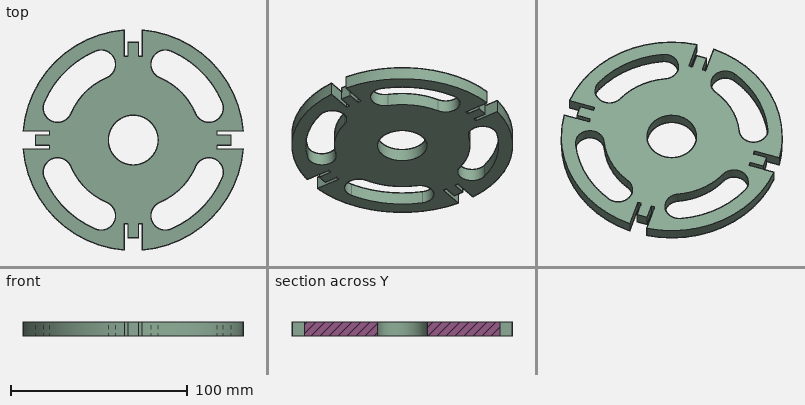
import cadquery as cq
import math

thickness = 8.0
outer_span = 124.6
bore_diameter = 28.0

notch_count = 4
notch_width = 10.0
notch_floor_radius = 47.5
tab_width = 6.0
tab_tip_radius = 55.3

slot_width = 16.2
slot_path_radius = 46.5
slot_sweep = 44.0

outer_radius = math.hypot(outer_span / 2, notch_width / 2)
notch_pitch = 360 / notch_count


def polar_point(radius, angle):
    """Point in the XY plane at a radius and an angle in degrees."""
    radians = math.radians(angle)
    return radius * math.cos(radians), radius * math.sin(radians)


def radial_bar(inner, outer, width):
    """Full-thickness bar along +X between two distances from the axis."""
    return cq.Workplane("XY").box(
        outer - inner, width, thickness, centered=(False, True, False)
    ).translate((inner, 0, 0))


def curved_slot(middle_angle):
    """Full-thickness arc slot with round ends, concentric with the disc."""
    start = middle_angle - slot_sweep / 2
    end = middle_angle + slot_sweep / 2
    inner = slot_path_radius - slot_width / 2
    outer = slot_path_radius + slot_width / 2
    start_tip_x, start_tip_y = polar_point(slot_path_radius, start)
    end_tip_x, end_tip_y = polar_point(slot_path_radius, end)
    start_dx, start_dy = polar_point(slot_width / 2, start - 90)
    end_dx, end_dy = polar_point(slot_width / 2, end + 90)
    return (
        cq.Workplane("XY")
        .moveTo(*polar_point(inner, start))
        .threePointArc(polar_point(inner, middle_angle), polar_point(inner, end))
        .threePointArc((end_tip_x + end_dx, end_tip_y + end_dy), polar_point(outer, end))
        .threePointArc(polar_point(outer, middle_angle), polar_point(outer, start))
        .threePointArc((start_tip_x + start_dx, start_tip_y + start_dy), polar_point(inner, start))
        .close()
        .extrude(thickness)
    )


notch = radial_bar(notch_floor_radius, outer_radius + notch_width, notch_width).cut(
    radial_bar(notch_floor_radius, tab_tip_radius, tab_width)
)

result = cq.Workplane("XY").circle(outer_radius).circle(bore_diameter / 2).extrude(thickness)
for index in range(notch_count):
    notch_angle = index * notch_pitch
    result = result.cut(notch.rotate((0, 0, 0), (0, 0, 1), notch_angle))
    result = result.cut(curved_slot(notch_angle + notch_pitch / 2))